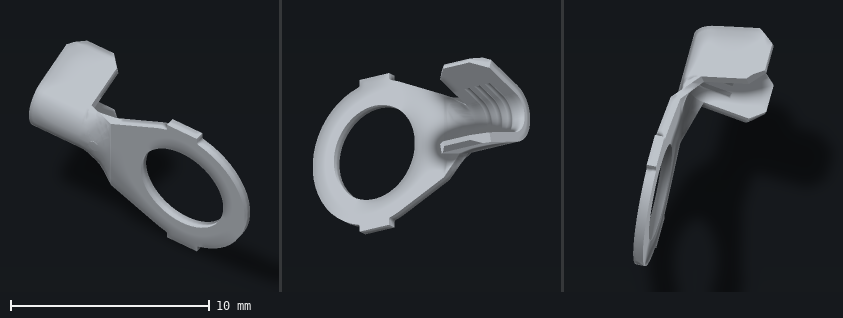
import cadquery as cq
import math

THICKNESS = 0.5
RING_RADIUS = 3.8
HOLE_RADIUS = 2.5
TAB_WIDTH = 1.8
TAB_REACH = 4.06
TAB_ROOT_FILLET = 0.13

NECK_FLAT_X = -4.3
NECK_FLAT_HALF_WIDTH = 2.21
PIN_X = -5.35
PIN_RADIUS = 0.31

BARREL_END_X = RING_RADIUS - 13.07
BARREL_LENGTH = 3.05
BARREL_NECK_X = BARREL_END_X + BARREL_LENGTH
BARREL_MID_X = BARREL_END_X + BARREL_LENGTH / 2
BARREL_OUTER_RADIUS = 1.57
BARREL_INNER_RADIUS = BARREL_OUTER_RADIUS - THICKNESS
LEG_ANGLE = 16.7
BARREL_HEIGHT = 4.33

CORNER_CUT_X = 0.72
CORNER_CUT_ALONG_LEG = 0.77
BEVEL_DEPTH = THICKNESS / 2
BEVEL_LENGTH = 0.46

GROOVE_COUNT = 3
GROOVE_PITCH = 0.63
GROOVE_WIDTH = 0.34
GROOVE_DEPTH = 0.13
GROOVE_TOP_Y = 2.47
GROOVE_RUNOUT = 0.08

SIN_LEG = math.sin(math.radians(LEG_ANGLE))
COS_LEG = math.cos(math.radians(LEG_ANGLE))
LEG_LENGTH = (BARREL_HEIGHT - BARREL_OUTER_RADIUS + BARREL_INNER_RADIUS * SIN_LEG) / COS_LEG


def leg_point(along, radius, side):
    """(Y, Z) of a point `along` a leg and `radius` from the bend axis line; side is +1 or -1 in Z."""
    y = BARREL_OUTER_RADIUS - radius * SIN_LEG + along * COS_LEG
    z = radius * COS_LEG + along * SIN_LEG
    return (y, side * z)


def bend_bottom(radius):
    """(Y, Z) of the lowest point of a bend of this radius."""
    return (BARREL_OUTER_RADIUS - radius, 0)


def section_plane(x):
    """Workplane across the part at x, with local axes along Y and Z."""
    return cq.Workplane("YZ", origin=(x, 0, 0))


def u_outline():
    """Closed U section of the barrel: two legs joined by a bend."""
    return (
        section_plane(BARREL_END_X)
        .moveTo(*leg_point(LEG_LENGTH, BARREL_OUTER_RADIUS, 1))
        .lineTo(*leg_point(0, BARREL_OUTER_RADIUS, 1))
        .threePointArc(bend_bottom(BARREL_OUTER_RADIUS), leg_point(0, BARREL_OUTER_RADIUS, -1))
        .lineTo(*leg_point(LEG_LENGTH, BARREL_OUTER_RADIUS, -1))
        .lineTo(*leg_point(LEG_LENGTH, BARREL_INNER_RADIUS, -1))
        .lineTo(*leg_point(0, BARREL_INNER_RADIUS, -1))
        .threePointArc(bend_bottom(BARREL_INNER_RADIUS), leg_point(0, BARREL_INNER_RADIUS, 1))
        .lineTo(*leg_point(LEG_LENGTH, BARREL_INNER_RADIUS, 1))
        .close()
    )


def flat_plate(outline):
    """Extrude an XZ outline through the sheet, from Y = 0 to Y = THICKNESS."""
    return outline.extrude(-THICKNESS)


def make_ring():
    """Ring with a tongue tangent to its rim and two tabs, pierced by the stud hole."""
    corner_angle = math.atan2(NECK_FLAT_HALF_WIDTH, NECK_FLAT_X)
    corner_distance = math.hypot(NECK_FLAT_X, NECK_FLAT_HALF_WIDTH)
    tangent_angle = corner_angle - math.acos(RING_RADIUS / corner_distance)
    tangent_x = RING_RADIUS * math.cos(tangent_angle)
    tangent_z = RING_RADIUS * math.sin(tangent_angle)
    body = flat_plate(
        cq.Workplane("XZ")
        .moveTo(NECK_FLAT_X, -NECK_FLAT_HALF_WIDTH)
        .lineTo(tangent_x, -tangent_z)
        .threePointArc((RING_RADIUS, 0), (tangent_x, tangent_z))
        .lineTo(NECK_FLAT_X, NECK_FLAT_HALF_WIDTH)
        .close()
    )
    tabs = flat_plate(cq.Workplane("XZ").rect(TAB_WIDTH, 2 * TAB_REACH))
    root_x = TAB_WIDTH / 2 + TAB_ROOT_FILLET
    root_z = math.sqrt(RING_RADIUS**2 - (TAB_WIDTH / 2) ** 2) + TAB_ROOT_FILLET
    root_zone = cq.selectors.BoxSelector((-root_x, 0, -root_z), (root_x, THICKNESS, root_z))
    plate = body.union(tabs).edges("|Y").edges(root_zone).fillet(TAB_ROOT_FILLET)
    hole = flat_plate(cq.Workplane("XZ").circle(HOLE_RADIUS))
    return plate.cut(hole)


def make_neck():
    """Ruled blend from the bend of the barrel to the flat tongue, with a round flat-ended pin."""
    bend = (
        section_plane(BARREL_NECK_X)
        .moveTo(*leg_point(0, BARREL_OUTER_RADIUS, 1))
        .threePointArc(bend_bottom(BARREL_OUTER_RADIUS), leg_point(0, BARREL_OUTER_RADIUS, -1))
        .lineTo(*leg_point(0, BARREL_INNER_RADIUS, -1))
        .threePointArc(bend_bottom(BARREL_INNER_RADIUS), leg_point(0, BARREL_INNER_RADIUS, 1))
        .close()
        .val()
    )
    flat = (
        section_plane(NECK_FLAT_X)
        .moveTo(0, NECK_FLAT_HALF_WIDTH)
        .lineTo(0, -NECK_FLAT_HALF_WIDTH)
        .lineTo(THICKNESS, -NECK_FLAT_HALF_WIDTH)
        .lineTo(THICKNESS, NECK_FLAT_HALF_WIDTH)
        .close()
        .val()
    )
    blend = cq.Workplane(cq.Solid.makeLoft([bend, flat], True))
    pin = flat_plate(cq.Workplane("XZ").center(PIN_X, 0).circle(PIN_RADIUS))
    return blend.union(pin)


def bevel_cut(side):
    """Wedge removed from the outer edge of one leg tip."""
    return (
        section_plane(BARREL_END_X)
        .moveTo(*leg_point(LEG_LENGTH - BEVEL_LENGTH, BARREL_OUTER_RADIUS, side))
        .lineTo(*leg_point(LEG_LENGTH, BARREL_OUTER_RADIUS, side))
        .lineTo(*leg_point(LEG_LENGTH, BARREL_OUTER_RADIUS - BEVEL_DEPTH, side))
        .close()
        .extrude(BARREL_LENGTH)
    )


def corner_cuts(side):
    """Two triangular prisms that clip the tip corners of one leg."""
    inner_start = (BARREL_MID_X, *leg_point(0, BARREL_INNER_RADIUS, side))
    leg_face = cq.Plane(origin=inner_start, xDir=(side, 0, 0), normal=(0, -SIN_LEG, side * COS_LEG))
    half_length = BARREL_LENGTH / 2
    tip = (half_length, LEG_LENGTH)
    cut = (
        cq.Workplane(leg_face)
        .moveTo(*tip)
        .lineTo(half_length - CORNER_CUT_X, LEG_LENGTH)
        .lineTo(half_length, LEG_LENGTH - CORNER_CUT_ALONG_LEG)
        .close()
        .extrude(THICKNESS)
    )
    return cut.union(cut.mirror("YZ", (BARREL_MID_X, 0, 0)))


def bend_groove(x):
    """V ring that scores the inside of the bend."""
    surface_y = bend_bottom(BARREL_INNER_RADIUS)[0]
    return (
        cq.Workplane("XY")
        .moveTo(x - GROOVE_WIDTH / 2, surface_y)
        .lineTo(x, surface_y - GROOVE_DEPTH)
        .lineTo(x + GROOVE_WIDTH / 2, surface_y)
        .close()
        .revolve(360, (0, BARREL_OUTER_RADIUS, 0), (1, BARREL_OUTER_RADIUS, 0))
    )


def leg_groove(x, side):
    """V prism on the inside of one leg, sloping out at its upper end."""
    inner_start = leg_point(0, BARREL_INNER_RADIUS, side)
    length = (GROOVE_TOP_Y - inner_start[0]) / COS_LEG
    across_leg = cq.Plane(origin=(x, *inner_start), xDir=(-side, 0, 0), normal=(0, COS_LEG, side * SIN_LEG))
    prism = (
        cq.Workplane(across_leg)
        .moveTo(-GROOVE_WIDTH / 2, 0)
        .lineTo(0, GROOVE_DEPTH)
        .lineTo(GROOVE_WIDTH / 2, 0)
        .close()
        .extrude(length)
    )
    groove_bed = BARREL_INNER_RADIUS + GROOVE_DEPTH
    side_profile = (
        section_plane(x)
        .moveTo(*leg_point(0, BARREL_INNER_RADIUS, side))
        .lineTo(*leg_point(length, BARREL_INNER_RADIUS, side))
        .lineTo(*leg_point(length - GROOVE_RUNOUT, groove_bed, side))
        .lineTo(*leg_point(0, groove_bed, side))
        .close()
        .extrude(GROOVE_WIDTH / 2, both=True)
    )
    return prism.intersect(side_profile)


def make_barrel():
    """Open U barrel with clipped, bevelled leg tips and a serrated inside."""
    barrel = u_outline().extrude(BARREL_LENGTH)
    for side in (-1, 1):
        barrel = barrel.cut(bevel_cut(side)).cut(corner_cuts(side))
    for index in range(GROOVE_COUNT):
        x = BARREL_MID_X + (index - (GROOVE_COUNT - 1) / 2) * GROOVE_PITCH
        barrel = barrel.cut(bend_groove(x))
        for side in (-1, 1):
            barrel = barrel.cut(leg_groove(x, side))
    return barrel


result = make_ring().union(make_neck()).union(make_barrel())